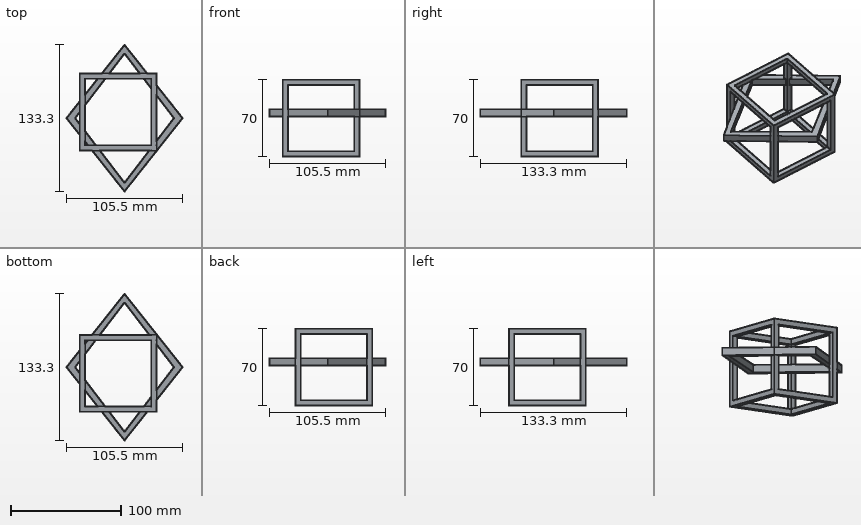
import cadquery as cq

CUBE_SIDE = 70.0
OPENING_SIDE = 60.0

RING_LENGTH_X = 105.5
RING_LENGTH_Y = 133.3
RING_CORNER_DEPTH = 8.0
RING_HEIGHT = 6.9
RING_CENTER = (5.7, -5.6, 4.8)


def make_frame():
    """Cube of twelve square bars: a square opening runs through along each axis."""
    frame = cq.Workplane("XY").box(CUBE_SIDE, CUBE_SIDE, CUBE_SIDE)
    for opening_size in (
        (CUBE_SIDE, OPENING_SIDE, OPENING_SIDE),
        (OPENING_SIDE, CUBE_SIDE, OPENING_SIDE),
        (OPENING_SIDE, OPENING_SIDE, CUBE_SIDE),
    ):
        frame = frame.cut(cq.Workplane("XY").box(*opening_size))
    return frame


def make_diamond(half_x, half_y):
    """Diamond prism of the ring's height, centred on the ring's center."""
    corners = [(half_x, 0), (0, half_y), (-half_x, 0), (0, -half_y)]
    prism = cq.Workplane("XY").polyline(corners).close().extrude(RING_HEIGHT / 2, both=True)
    return prism.translate(RING_CENTER)


def make_ring(frame):
    """Diamond ring, notched where two posts of the frame pass through it."""
    half_x = RING_LENGTH_X / 2
    half_y = RING_LENGTH_Y / 2
    outer = make_diamond(half_x, half_y)
    inner = make_diamond(half_x - RING_CORNER_DEPTH, half_y - RING_CORNER_DEPTH)
    return outer.cut(inner).cut(frame)


frame = make_frame()
ring = make_ring(frame)

result = cq.Compound.makeCompound([frame.val(), *ring.vals()])